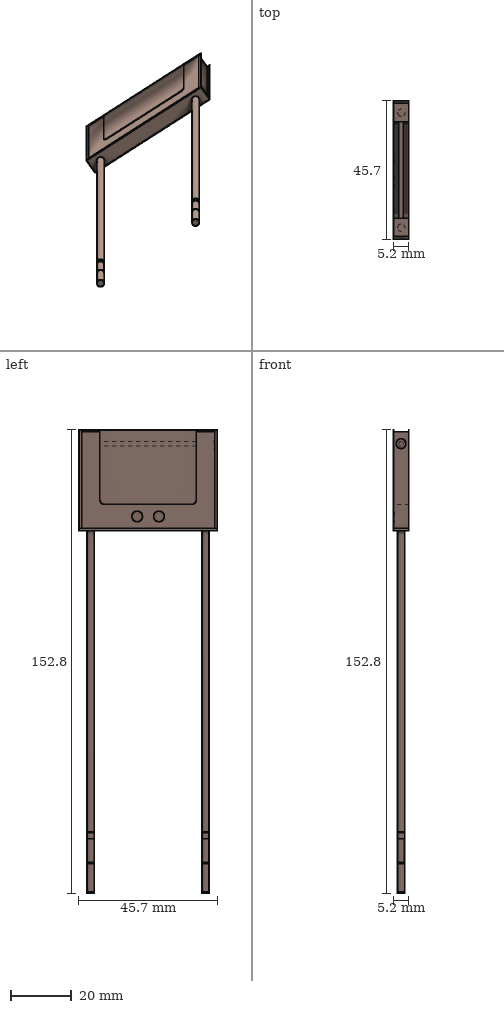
import cadquery as cq

total_height = 152.8
card_thickness = 5.2
card_width = 45.7
card_height = 33.3

plate_thickness = 0.08
plate_setback = 0.03
side_inset = 0.9
flange_thickness = 0.9
top_inset = 0.6
plate_span = card_thickness - 2 * plate_setback
core_width = card_width - 2 * side_inset
core_bottom = flange_thickness
core_top = card_height - top_inset

window_width = 31.8
window_bottom = 8.7
window_corner_radius = 1.5

face_recess_diameter = 3.5
face_recess_spacing = 7.2
face_recess_height = 4.7
end_recess_diameter = 3.2
recess_depth = 0.3

cross_bar_drop = 4.6
cross_bar_height = card_height - cross_bar_drop
cross_bar_diameter = 1.5

rod_diameter = 2.5
rod_spacing = 37.9
rod_bottom = card_height - total_height
groove_diameter = 2.38
groove_length = 0.5
lower_groove_bottom = rod_bottom + 9.8
upper_groove_bottom = rod_bottom + 19.9
neck_diameter = 2.41
neck_bottom = lower_groove_bottom + groove_length
neck_length = 7.8


def make_core():
    """U-shaped spacer, its window rounded at the two lower corners."""
    blank = cq.Workplane("XY").box(
        card_thickness, core_width, core_top - core_bottom, centered=(True, True, False)
    ).translate((0, 0, core_bottom))
    window = (
        cq.Workplane("XY")
        .box(card_thickness, window_width, core_top - window_bottom, centered=(True, True, False))
        .edges("|X and <Z")
        .fillet(window_corner_radius)
        .translate((0, 0, window_bottom))
    )
    return blank.cut(window)


def make_plate(center_x):
    """Thin cover plate, overhanging the core along its edges."""
    return cq.Workplane("XY").box(
        plate_thickness, card_width, card_height, centered=(True, True, False)
    ).translate((center_x, 0, 0))


def make_housing():
    """Core closed by two plates, with a bottom flange and a bar across the window."""
    flange = cq.Workplane("XY").box(
        plate_span, card_width, flange_thickness, centered=(True, True, False)
    )
    plate_x = (plate_span - plate_thickness) / 2
    housing = make_core().union(flange).union(make_plate(-plate_x)).union(make_plate(plate_x))

    cross_bar = (
        cq.Workplane("XZ", origin=(0, 0, cross_bar_height))
        .circle(cross_bar_diameter / 2)
        .extrude(window_width / 2, both=True)
    )
    housing = housing.union(cross_bar)

    end_recess = (
        cq.Workplane("XZ", origin=(0, -core_width / 2, cross_bar_height))
        .circle(end_recess_diameter / 2)
        .extrude(-recess_depth)
    )
    housing = housing.cut(end_recess)

    face_recesses = (
        cq.Workplane("YZ", origin=(-card_thickness / 2, 0, face_recess_height))
        .rarray(face_recess_spacing, 1.5, 2, 1)
        .circle(face_recess_diameter / 2)
        .extrude(recess_depth)
    )
    return housing.cut(face_recesses)


def make_ring(center_y, bottom, length, inner_diameter):
    """Ring of material that turns the rod down to the inner diameter."""
    return (
        cq.Workplane("XY", origin=(0, center_y, bottom))
        .circle(rod_diameter / 2)
        .circle(inner_diameter / 2)
        .extrude(length)
    )


def make_rod(center_y):
    """Probe rod that hangs from the underside of the flange."""
    rod = (
        cq.Workplane("XY", origin=(0, center_y, rod_bottom))
        .circle(rod_diameter / 2)
        .extrude(-rod_bottom)
    )
    for groove_bottom in (rod_bottom, lower_groove_bottom, upper_groove_bottom):
        rod = rod.cut(make_ring(center_y, groove_bottom, groove_length, groove_diameter))
    return rod.cut(make_ring(center_y, neck_bottom, neck_length, neck_diameter))


housing = make_housing()
rods = [make_rod(side * rod_spacing / 2) for side in (-1, 1)]

result = cq.Compound.makeCompound([housing.val(), *[rod.val() for rod in rods]])